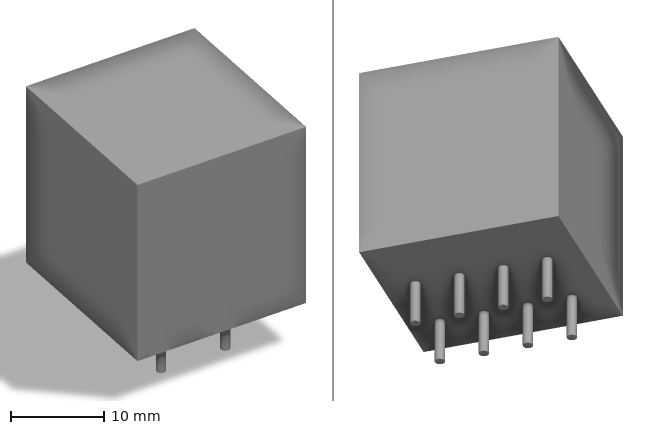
import cadquery as cq

housing_length = 22.62
housing_width = 21.35
total_height = 27.75
pin_length = 5.05
housing_height = total_height - pin_length

pin_diameter = 1.1
pins_per_row = 4
pin_pitch = 5.0
pin_row_center_x = 0.17
front_row_y = -5.4
row_spacing = 8.13
row_positions = [front_row_y, front_row_y + row_spacing]


def make_housing():
    """Plain rectangular block standing on the XY plane."""
    return cq.Workplane("XY").box(
        housing_length, housing_width, housing_height, centered=(True, True, False)
    )


def make_pin(x, y):
    """Round pin hanging from the underside of the housing."""
    return cq.Workplane("XY").center(x, y).circle(pin_diameter / 2).extrude(-pin_length)


housing = make_housing()

first_pin_x = pin_row_center_x - pin_pitch * (pins_per_row - 1) / 2
pins = []
for row_y in row_positions:
    for index in range(pins_per_row):
        pins.append(make_pin(first_pin_x + index * pin_pitch, row_y))

result = cq.Compound.makeCompound([housing.val(), *[pin.val() for pin in pins]])